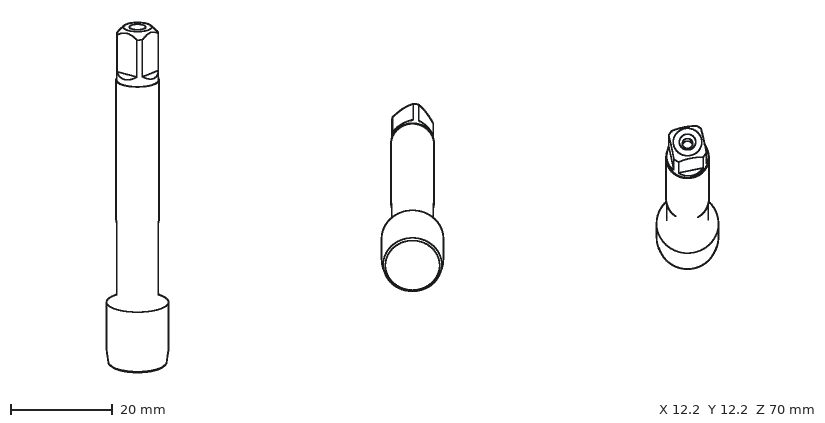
import cadquery as cq
import math

total_length = 70.0

head_diameter = 12.2
head_top = 12.95
lead_height = 3.0
lead_end_diameter = 11.5
lead_end_height = 0.5
nose_diameter = 10.65
nose_height = 0.15

neck_diameter = 8.2
flare_angle = math.radians(30)
flare_fillet = 1.3

shank_diameter = 8.5
shank_bottom = 29.5
shank_taper_height = 0.55
shank_top = 59.0

drive_sides = 4
drive_diameter = 8.2
drive_width = 6.5
drive_bottom = 61.05
drive_tip_diameter = 5.6

center_diameter = 2.0
center_mouth_diameter = 3.2
center_depth = 2.8
center_angle = math.radians(30)
drill_angle = math.radians(59)


def make_cutting_head():
    """Cylinder with a tapered lead and a slightly pointed nose."""
    profile = (
        cq.Workplane("XZ")
        .lineTo(nose_diameter / 2, nose_height)
        .lineTo(lead_end_diameter / 2, lead_end_height)
        .lineTo(head_diameter / 2, lead_height)
        .lineTo(head_diameter / 2, head_top)
        .lineTo(0, head_top)
        .close()
    )
    return profile.revolve(360, (0, 0), (0, 1))


def make_round_shank():
    """Flare, neck, shank and chamfered drive stock, revolved about Z."""
    neck_radius = neck_diameter / 2
    fillet_center_radius = neck_radius + flare_fillet
    fillet_start_radius = fillet_center_radius - flare_fillet * math.sin(flare_angle)
    fillet_start = head_top + (head_diameter / 2 - fillet_start_radius) * math.tan(flare_angle)
    fillet_end = fillet_start + flare_fillet * math.cos(flare_angle)
    middle_angle = (math.pi / 2 - flare_angle) / 2
    fillet_middle = (
        fillet_center_radius - flare_fillet * math.cos(middle_angle),
        fillet_end - flare_fillet * math.sin(middle_angle),
    )
    tip_chamfer = (drive_diameter - drive_tip_diameter) / 2

    profile = (
        cq.Workplane("XZ")
        .moveTo(0, head_top)
        .lineTo(head_diameter / 2, head_top)
        .lineTo(fillet_start_radius, fillet_start)
        .threePointArc(fillet_middle, (neck_radius, fillet_end))
        .lineTo(neck_radius, shank_bottom)
        .lineTo(shank_diameter / 2, shank_bottom + shank_taper_height)
        .lineTo(shank_diameter / 2, shank_top)
        .lineTo(drive_diameter / 2, shank_top)
        .lineTo(drive_diameter / 2, total_length - tip_chamfer)
        .lineTo(drive_tip_diameter / 2, total_length)
        .lineTo(0, total_length)
        .close()
    )
    return profile.revolve(360, (0, 0), (0, 1))


def make_flat_cutter():
    """Removes the stock beyond one flat, with a 45 degree run-out at its foot."""
    flat = drive_width / 2
    outside = shank_diameter
    return (
        cq.Workplane("XZ")
        .moveTo(flat, drive_bottom)
        .lineTo(outside, drive_bottom - (outside - flat))
        .lineTo(outside, total_length)
        .lineTo(flat, total_length)
        .close()
        .extrude(shank_diameter / 2, both=True)
    )


def make_center_hole():
    """Countersunk blind hole with a drilled bottom."""
    radius = center_diameter / 2
    mouth_radius = center_mouth_diameter / 2
    mouth_depth = (mouth_radius - radius) / math.tan(center_angle)
    point_depth = center_depth + radius / math.tan(drill_angle)
    profile = (
        cq.Workplane("XZ")
        .moveTo(0, total_length)
        .lineTo(mouth_radius, total_length)
        .lineTo(radius, total_length - mouth_depth)
        .lineTo(radius, total_length - center_depth)
        .lineTo(0, total_length - point_depth)
        .close()
    )
    return profile.revolve(360, (0, 0), (0, 1))


def make_shank():
    """Round shank with the four drive flats and the centre hole."""
    shank = make_round_shank()
    for side in range(drive_sides):
        turn = side * 360 / drive_sides
        shank = shank.cut(make_flat_cutter().rotate((0, 0, 0), (0, 0, 1), turn))
    return shank.cut(make_center_hole())


cutting_head = make_cutting_head()
shank = make_shank()

result = cq.Compound.makeCompound([cutting_head.val(), shank.val()])